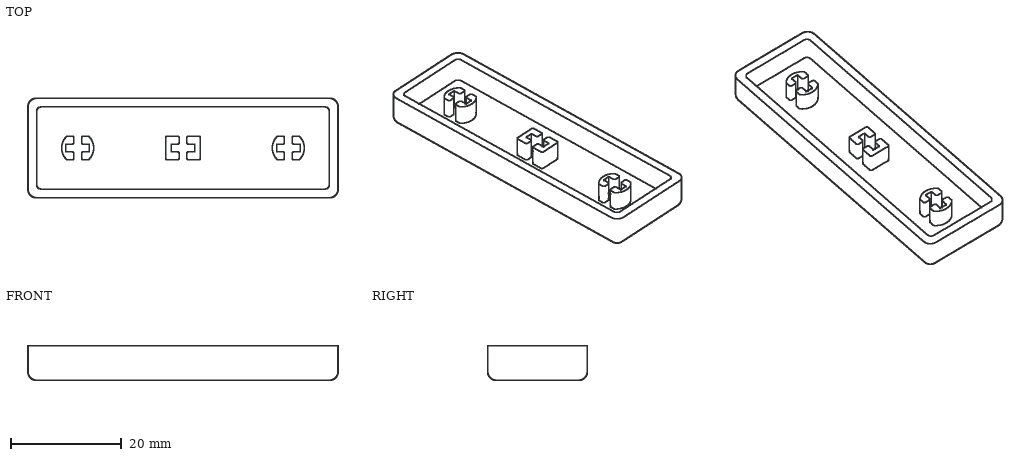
import cadquery as cq

length = 56.15
width = 18.05
height = 6.3
wall = 1.6
floor_thickness = wall
corner_radius = wall
bottom_radius = wall
cavity_radius = wall / 2

stem_height = 3.7
stem_depth = 4.3
center_stem_width = 6.3
side_stem_diameter = 5.8
side_stem_offset = 19.05
stem_edge_radius = 0.3

arm_length = 4.25
socket_width = 1.4


def upright_box(size_x, size_y, size_z):
    """Box centred on the Z axis and standing on the XY plane."""
    return cq.Workplane("XY").box(size_x, size_y, size_z, centered=(True, True, False))


def make_shell():
    """Rounded block hollowed from the top."""
    block = upright_box(length, width, height).edges("|Z").fillet(corner_radius)
    block = block.faces("<Z").edges().fillet(bottom_radius)
    cavity = upright_box(length - 2 * wall, width - 2 * wall, height - floor_thickness)
    cavity = cavity.edges("|Z").fillet(cavity_radius)
    return block.cut(cavity.translate((0, 0, floor_thickness)))


def make_center_blank():
    """Rectangular stem before its socket is cut."""
    return upright_box(center_stem_width, stem_depth, stem_height)


def make_side_blank():
    """Round stem with its front and back cut flat."""
    cylinder = cq.Workplane("XY").circle(side_stem_diameter / 2).extrude(stem_height)
    return cylinder.intersect(upright_box(side_stem_diameter, stem_depth, stem_height))


def make_stem(blank):
    """Split a blank with a slot, cut the socket's cross arm and round the upright edges.

    The corners at the two closed ends of the cross arm stay sharp.
    """
    slot = upright_box(socket_width, stem_depth, stem_height)
    arm = upright_box(arm_length, socket_width, stem_height)
    stem = blank.cut(slot).cut(arm)

    def is_rounded(edge):
        center = edge.Center()
        at_arm_end = abs(center.x) > arm_length / 4 and abs(center.y) < stem_depth / 4
        return not at_arm_end

    return stem.edges("|Z").filter(is_rounded).fillet(stem_edge_radius)


result = make_shell()
center_stem = make_stem(make_center_blank())
result = result.union(center_stem.translate((0, 0, floor_thickness)))
side_stem = make_stem(make_side_blank())
for side in (-1, 1):
    result = result.union(side_stem.translate((side * side_stem_offset, 0, floor_thickness)))